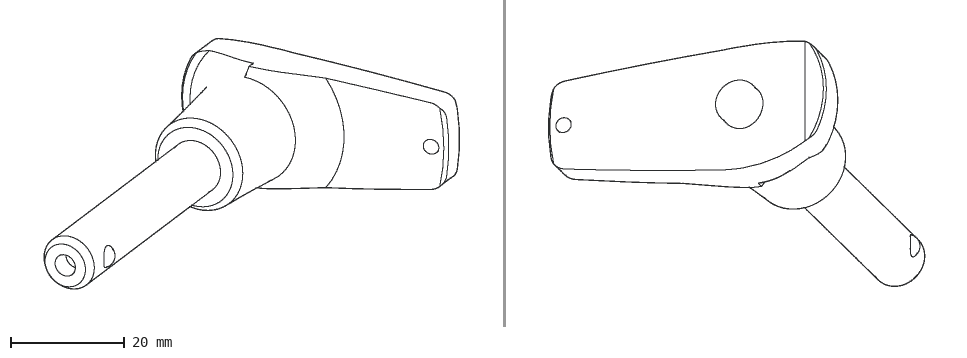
import cadquery as cq
import math


overall_length = 81.9
head_top = 32.85
shank_end = head_top - overall_length
shank_radius = 10.0 / 2
tip_chamfer_length = 1.5
tip_chamfer_depth = 1.0
tip_bore_radius = 4.0 / 2
tip_bore_depth = 4.1

ball_radius = 4.25 / 2
ball_span = 11.95
ball_from_tip = 6.9

collar_end_radius = 7.45
collar_chamfer_radius = 8.7
collar_chamfer_length = 1.4
collar_top_radius = 10.1
collar_top = 18.6
collar_waist = 0.1

short_reach = 16.8
long_reach = 35.4
half_width = 23.0 / 2
short_end_half_width = 9.0
long_end_half_width = 8.0
long_side_bulge = 0.205
short_corner_radius = 4.25
long_corner_radius = 3.3
side_seam_x = 3.7

saddle_height = 29.6
short_flat_x = -12.9
short_dip = 0.53
long_flat_x = 33.2
short_flare_radius = 14.9
short_underside = 26.3
long_flare_radius = 16.9
long_flare_top = 24.0
long_underside = 27.7
flare_hollow = 0.53
rim_chamfer = 0.4
long_underside_chamfer = 0.65

button_radius = 8.0 / 2
button_edge_radius = 0.5
lanyard_hole_radius = 2.8 / 2
lanyard_hole_x = 32.4


def bowed_midpoint(start, end, bow):
    """Middle of an arc from start to end that bows to the right of travel."""
    dx = end[0] - start[0]
    dy = end[1] - start[1]
    chord = math.hypot(dx, dy)
    return (
        (start[0] + end[0]) / 2 + bow * dy / chord,
        (start[1] + end[1]) / 2 - bow * dx / chord,
    )


def revolve_about_pin(profile):
    """Revolve a closed (radius, Y) profile about the pin axis."""
    return profile.revolve(360, (0, 0, 0), (0, 1, 0))


def cylinder_along_y(radius, start, end, x=0.0):
    """Cylinder parallel to the pin axis between two Y positions."""
    return (
        cq.Workplane("XZ", origin=(x, start, 0))
        .circle(radius)
        .extrude(start - end)
    )


def make_shank():
    shank = revolve_about_pin(
        cq.Workplane("XY")
        .moveTo(0, shank_end)
        .lineTo(shank_radius - tip_chamfer_depth, shank_end)
        .lineTo(shank_radius, shank_end + tip_chamfer_length)
        .lineTo(shank_radius, collar_top)
        .lineTo(0, collar_top)
        .close()
    )
    ball_offset = ball_span / 2 - ball_radius
    for side in (-1, 1):
        ball_center = (side * ball_offset, shank_end + ball_from_tip, 0)
        shank = shank.union(cq.Workplane("XY").sphere(ball_radius).translate(ball_center))
    return shank.cut(cylinder_along_y(tip_bore_radius, shank_end, shank_end + tip_bore_depth))


def make_collar():
    side_start = (collar_chamfer_radius, collar_chamfer_length)
    side_end = (collar_top_radius, collar_top)
    return revolve_about_pin(
        cq.Workplane("XY")
        .lineTo(collar_end_radius, 0)
        .lineTo(*side_start)
        .threePointArc(bowed_midpoint(side_start, side_end, -collar_waist), side_end)
        .lineTo(0, collar_top)
        .close()
    )


def make_handle_half(side, flare_end, rim_underside, reach, underside_chamfer):
    """Half of the handle blank on one side of X = 0, turned about the pin axis."""
    flare_start = (collar_top_radius, collar_top)
    blank = revolve_about_pin(
        cq.Workplane("XY")
        .moveTo(0, collar_top)
        .lineTo(*flare_start)
        .threePointArc(bowed_midpoint(flare_start, flare_end, -flare_hollow), flare_end)
        .lineTo(reach - underside_chamfer, rim_underside)
        .lineTo(reach, rim_underside + underside_chamfer)
        .lineTo(reach, head_top - rim_chamfer)
        .lineTo(reach - rim_chamfer, head_top)
        .lineTo(0, head_top)
        .close()
    )
    half_space = (
        cq.Workplane("XY")
        .box(2 * long_reach, 2 * head_top, 2 * long_reach)
        .translate((side * long_reach, 0, 0))
    )
    return blank.intersect(half_space)


def make_outline_prism():
    """Handle outline in XZ, extruded along the pin axis."""
    short_end_x = -math.sqrt(short_reach**2 - short_end_half_width**2)
    side_rise = half_width - short_end_half_width
    side_radius = (short_end_x**2 + side_rise**2) / (2 * side_rise)
    seam_z = half_width - side_radius + math.sqrt(side_radius**2 - side_seam_x**2)
    long_side_x = math.sqrt(long_reach**2 - long_end_half_width**2)
    seam = (side_seam_x, seam_z)
    long_corner = (long_side_x, long_end_half_width)
    upper_bow = bowed_midpoint(seam, long_corner, -long_side_bulge)
    prism = (
        cq.Workplane("XZ", origin=(0, head_top, 0))
        .moveTo(short_end_x, short_end_half_width)
        .threePointArc((0, half_width), seam)
        .threePointArc(upper_bow, long_corner)
        .threePointArc((long_reach, 0), (long_side_x, -long_end_half_width))
        .threePointArc((upper_bow[0], -upper_bow[1]), (side_seam_x, -seam_z))
        .threePointArc((0, -half_width), (short_end_x, -short_end_half_width))
        .threePointArc((-short_reach, 0), (short_end_x, short_end_half_width))
        .close()
        .extrude(head_top - collar_top)
    )
    prism = prism.edges("|Y").edges("<X").fillet(short_corner_radius)
    return prism.edges("|Y").edges(">X").fillet(long_corner_radius)


def make_saddle_cut():
    """Dished top between the flat ends of the two arms."""
    short_flat = (short_flat_x, head_top)
    saddle = (0, saddle_height)
    return (
        cq.Workplane("XY")
        .moveTo(*short_flat)
        .threePointArc(bowed_midpoint(short_flat, saddle, short_dip), saddle)
        .lineTo(side_seam_x, saddle_height)
        .lineTo(long_flat_x, head_top)
        .close()
        .extrude(half_width, both=True)
    )


def make_handle():
    short_half = make_handle_half(
        -1, (short_flare_radius, short_underside), short_underside, short_reach, rim_chamfer
    )
    long_half = make_handle_half(
        1, (long_flare_radius, long_flare_top), long_underside, long_reach, long_underside_chamfer
    )
    handle = short_half.union(long_half).intersect(make_outline_prism()).cut(make_saddle_cut())
    return handle.cut(cylinder_along_y(lanyard_hole_radius, collar_top, head_top, lanyard_hole_x))


def make_button():
    button = cylinder_along_y(button_radius, collar_top, head_top)
    return button.faces(">Y").edges().fillet(button_edge_radius)


result = make_handle().union(make_collar()).union(make_shank()).union(make_button())